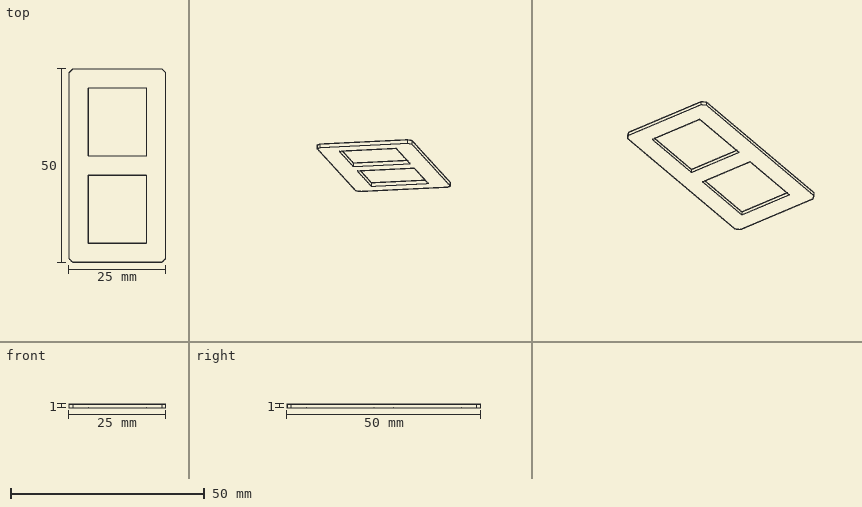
import cadquery as cq

width = 25.0
length = 50.0
thickness = 1.0
border = 5.0
corner_chamfer = 1.0

window_count = 2
window_width = width - 2 * border
window_length = (length - (window_count + 1) * border) / window_count
window_pitch = window_length + border

plate = (
    cq.Workplane("XY")
    .box(width, length, thickness)
    .edges("|Z")
    .chamfer(corner_chamfer)
)

result = (
    plate.faces(">Z")
    .workplane()
    .rarray(window_pitch, window_pitch, 1, window_count)
    .rect(window_width, window_length)
    .cutThruAll()
)